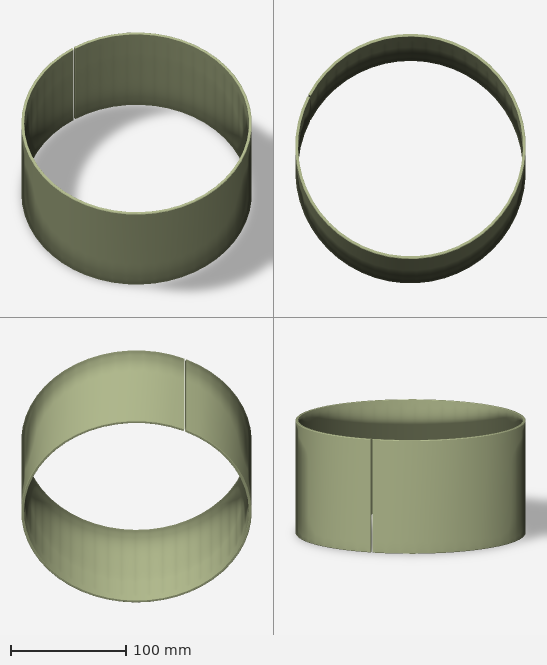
import cadquery as cq

outer_diameter = 200.0
wall_thickness = 2.5
height = 100.0
outer_chamfer = 0.5
inner_chamfer = 0.2
wrap_angle = 359.0

outer_radius = outer_diameter / 2
inner_radius = outer_radius - wall_thickness


def make_wall_section():
    """Wall cross-section at the -X end of the XZ plane, with all four corners chamfered."""
    return (
        cq.Workplane("XZ")
        .moveTo(-inner_radius - inner_chamfer, 0)
        .lineTo(-outer_radius + outer_chamfer, 0)
        .lineTo(-outer_radius, outer_chamfer)
        .lineTo(-outer_radius, height - outer_chamfer)
        .lineTo(-outer_radius + outer_chamfer, height)
        .lineTo(-inner_radius - inner_chamfer, height)
        .lineTo(-inner_radius, height - inner_chamfer)
        .lineTo(-inner_radius, inner_chamfer)
        .close()
    )


def make_split_ring():
    """Sweep the section counter-clockwise around Z, stopping short of a full turn.

    The slit runs from the XZ plane towards +Y.
    """
    axis_start = (0, 0)
    axis_end = (0, 1)
    return make_wall_section().revolve(wrap_angle, axis_start, axis_end)


result = make_split_ring()